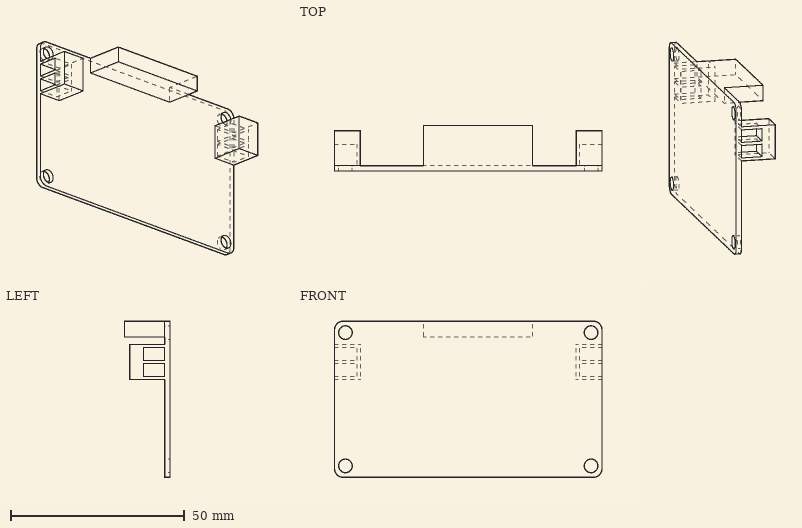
import cadquery as cq

board_length = 77.0
board_height = 45.0
board_thickness = 1.6
corner_radius = 2.5

hole_diameter = 3.85
hole_inset_x = 3.15
hole_inset_z = 3.3

header_left = 25.6
header_length = 31.5
header_depth = 11.55
header_height = 4.6

terminal_length = 7.5
terminal_depth = 10.0
terminal_drop = 6.7
wire_opening_depth = 6.1
wire_opening_height = 3.7
wire_opening_count = 2
terminal_wall = 0.9
opening_pitch = wire_opening_height + terminal_wall
terminal_height = wire_opening_count * opening_pitch + terminal_wall


def corner_box(x, y, z, length, depth, height):
    """Box with its lowest corner at (x, y, z)."""
    return cq.Workplane("XY").box(length, depth, height, centered=False).translate((x, y, z))


def make_board():
    """Rounded plate with a mounting hole near each corner."""
    plate = corner_box(0, 0, 0, board_length, board_thickness, board_height)
    plate = plate.edges("|Y").fillet(corner_radius)
    hole_centers = [
        (x, z)
        for x in (hole_inset_x, board_length - hole_inset_x)
        for z in (hole_inset_z, board_height - hole_inset_z)
    ]
    holes = (
        cq.Workplane("XZ")
        .pushPoints(hole_centers)
        .circle(hole_diameter / 2)
        .extrude(-board_thickness)
    )
    return plate.cut(holes)


def make_header():
    """Plain block behind the board, flush with its top edge."""
    bottom = board_height - header_height
    return corner_box(
        header_left, board_thickness, bottom, header_length, header_depth, header_height
    )


def make_left_terminal():
    """End block with blind wire openings on its outer side, next to the board."""
    bottom = board_height - terminal_drop - terminal_height
    block = corner_box(
        0, board_thickness, bottom, terminal_length, terminal_depth, terminal_height
    )
    for index in range(wire_opening_count):
        opening = corner_box(
            0,
            board_thickness,
            bottom + terminal_wall + index * opening_pitch,
            terminal_length - terminal_wall,
            wire_opening_depth,
            wire_opening_height,
        )
        block = block.cut(opening)
    return block


left_terminal = make_left_terminal()
right_terminal = left_terminal.mirror("YZ", (board_length / 2, 0, 0))

result = make_board().union(make_header()).union(left_terminal).union(right_terminal)